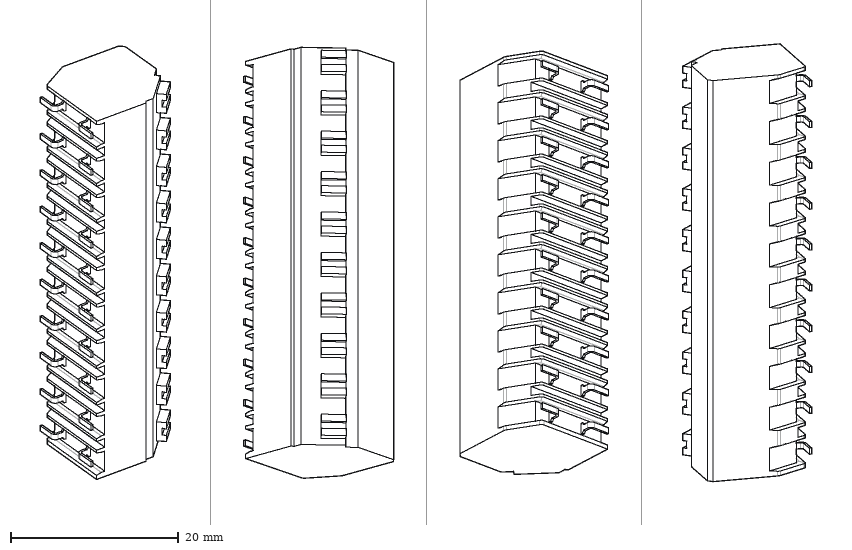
import cadquery as cq
import math


length = 49.9
width = 12.7
depth = 12.95
front_bevel_x = 2.4
front_bevel_y = 4.1
front_corner_radius = 0.55
side_corner_radius = 0.8
back_bevel = 0.55

slope_sum = 20.9
slope_top_x = 8.55
back_edge_x = 6.95
groove_x = 8.0
step_x = 12.35
step_bottom_y = 7.5
ledge_y = 7.3

pole_count = 10
first_pole_z = 2.15
last_pole_to_top = 2.05
pitch = (length - last_pole_to_top - first_pole_z) / (pole_count - 1)

recess_depth = 1.2
pocket_height = 2.8
rim_thinning = 0.175
rim_depth = 0.7
slot_height = 1.2

button_width = 3.0
button_rise = 1.2
button_height = 2.65
button_slot_width = 0.9
button_slot_depth = 0.5

pin_thickness = 0.3
pin_width = 0.75
pin_root_width = 1.4
pin_shoulder_y = 0.9
pin_neck_y = 0.7
pin_reach = 0.6
pin_bend_radius = 2 * pin_thickness
foot_length = 2.85
pin_pair_center_x = 7.15
pin_back_spacing = 4.7

embed = 0.5
margin = 0.05

pole_heights = [first_pole_z + i * pitch for i in range(pole_count)]


def housing_outline(setback):
    """Cross-section of the housing with its front and front bevel moved back by setback."""
    return (
        cq.Workplane("XY")
        .moveTo(front_bevel_x, setback)
        .lineTo(width, setback)
        .lineTo(width, ledge_y)
        .lineTo(step_x, step_bottom_y)
        .lineTo(step_x, slope_sum - step_x)
        .lineTo(slope_top_x, slope_sum - slope_top_x)
        .lineTo(groove_x, depth - (groove_x - back_edge_x))
        .lineTo(back_edge_x, depth)
        .lineTo(back_bevel, depth)
        .lineTo(0, depth - back_bevel)
        .lineTo(0, front_bevel_y + setback)
        .close()
    )


def edges_near(x, y):
    """Selector for the vertical edge at the given place in the cross-section."""
    return cq.selectors.BoxSelector(
        (x - margin, y - margin, -margin), (x + margin, y + margin, length + margin)
    )


def wall(bottom, top):
    """Slice of the housing with rounded corners, its front rim thinned where it borders a pocket."""
    height = top - bottom
    slab = housing_outline(0).extrude(height)
    rounded = slab.edges(edges_near(front_bevel_x, 0)).fillet(front_corner_radius)
    rounded = rounded.edges(edges_near(0, front_bevel_y)).fillet(side_corner_radius)
    front_rim = cq.selectors.BoxSelector(
        (-margin, -margin, -margin), (width - margin, front_bevel_y + margin, height + margin)
    )
    if bottom > 0:
        slab = slab.faces("<Z").edges(front_rim).chamfer(rim_thinning, rim_depth)
    if top < length:
        slab = slab.faces(">Z").edges(front_rim).chamfer(rim_thinning, rim_depth)
    return slab.intersect(rounded).translate((0, 0, bottom))


def housing():
    """Core set back to the pocket floors, plus the walls that separate the pockets."""
    body = housing_outline(recess_depth).extrude(length)
    wall_bottoms = [0] + [z + pocket_height / 2 for z in pole_heights]
    wall_tops = [z - pocket_height / 2 for z in pole_heights] + [length]
    for bottom, top in zip(wall_bottoms, wall_tops):
        body = body.union(wall(bottom, top))
    for z in pole_heights[:-1]:
        slot = cq.Workplane("XY").box(width, recess_depth, slot_height, centered=(False, False, True))
        body = body.cut(slot.translate((0, 0, z + pitch / 2)))
    return body


def button():
    """Slotted button standing on the sloped face, centred on Z = 0."""
    centering = (True, False, True)
    block = cq.Workplane("XY").box(button_width, button_rise + embed, button_height, centered=centering)
    slot = cq.Workplane("XY").box(button_width, button_slot_depth, button_slot_width, centered=centering)
    block = block.translate((0, -embed, 0))
    slot = slot.translate((0, button_rise - button_slot_depth, 0))
    center_x = slope_top_x + button_width / 2 * math.sqrt(0.5)
    turned = block.cut(slot).rotate((0, 0, 0), (0, 0, 1), -45)
    return turned.translate((center_x, slope_sum - center_x, 0))


def pin():
    """Bent pin with its back at X = 0 and its foot toward -X, centred on Z = 0."""
    root_y = recess_depth + embed
    strip = (
        cq.Workplane("XY")
        .moveTo(0, root_y)
        .lineTo(0, pin_bend_radius - pin_reach)
        .radiusArc((-pin_bend_radius, -pin_reach), pin_bend_radius)
        .lineTo(-foot_length, -pin_reach)
        .lineTo(-foot_length, pin_thickness - pin_reach)
        .lineTo(-pin_bend_radius, pin_thickness - pin_reach)
        .radiusArc((-pin_thickness, pin_bend_radius - pin_reach), -(pin_bend_radius - pin_thickness))
        .lineTo(-pin_thickness, root_y)
        .close()
        .extrude(pin_root_width / 2, both=True)
    )
    half_root = pin_root_width / 2
    half_pin = pin_width / 2
    blank = (
        cq.Workplane("YZ")
        .polyline([
            (root_y, -half_root),
            (root_y, half_root),
            (pin_shoulder_y, half_root),
            (pin_neck_y, half_pin),
            (-pin_reach, half_pin),
            (-pin_reach, -half_pin),
            (pin_neck_y, -half_pin),
            (pin_shoulder_y, -half_root),
        ])
        .close()
        .extrude(-foot_length)
    )
    return strip.intersect(blank)


left_pin = pin().translate((pin_pair_center_x - pin_back_spacing / 2, 0, 0))
right_pin = pin().mirror("YZ").translate((pin_pair_center_x + pin_back_spacing / 2, 0, 0))
pole_button = button()

result = housing()
for z in pole_heights:
    for fitting in (left_pin, right_pin, pole_button):
        result = result.union(fitting.translate((0, 0, z)))